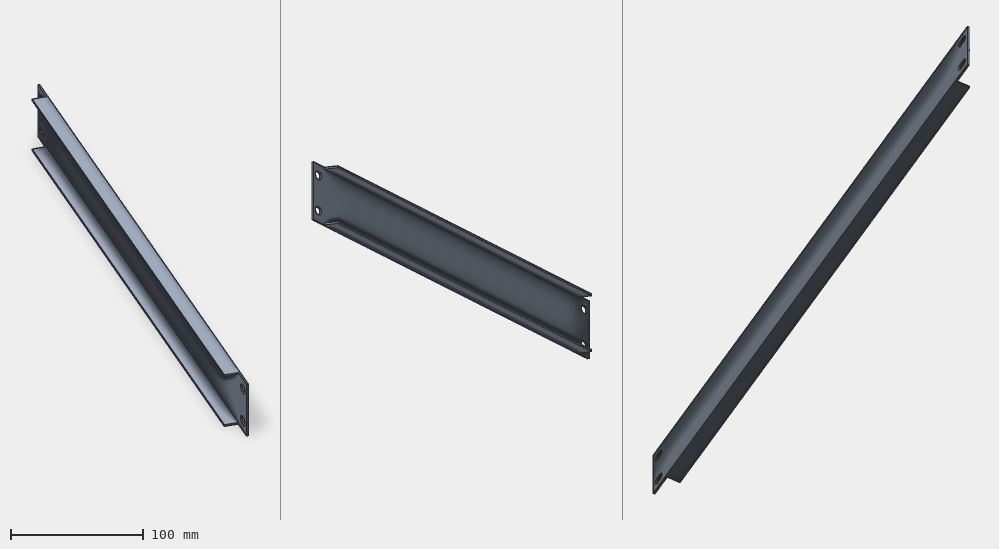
import cadquery as cq

panel_length = 482.0
panel_height = 45.0
panel_depth = 12.5
sheet_thickness = 1.5

flange_length = 444.0

slot_length = 10.0
slot_width = 6.0
slot_spacing_x = 465.0
slot_spacing_z = 27.5


def make_plate():
    """Flat panel with its front face on Y = 0."""
    return cq.Workplane("XY").box(
        panel_length, sheet_thickness, panel_height, centered=(True, False, True)
    )


def make_flange(side):
    """Flange along the top (side = 1) or bottom (side = -1) edge, reaching towards -Y."""
    flange_depth = panel_depth - sheet_thickness
    center_y = -flange_depth / 2
    center_z = side * (panel_height - sheet_thickness) / 2
    return (
        cq.Workplane("XY")
        .box(flange_length, flange_depth, sheet_thickness)
        .translate((0, center_y, center_z))
    )


def make_slots():
    """Cutters for the four mounting slots, longer than the sheet is thick."""
    return (
        cq.Workplane("XZ")
        .rarray(slot_spacing_x, slot_spacing_z, 2, 2)
        .slot2D(slot_length, slot_width)
        .extrude(2 * sheet_thickness, both=True)
    )


panel = make_plate().cut(make_slots())
for side in (1, -1):
    panel = panel.union(make_flange(side))

result = panel